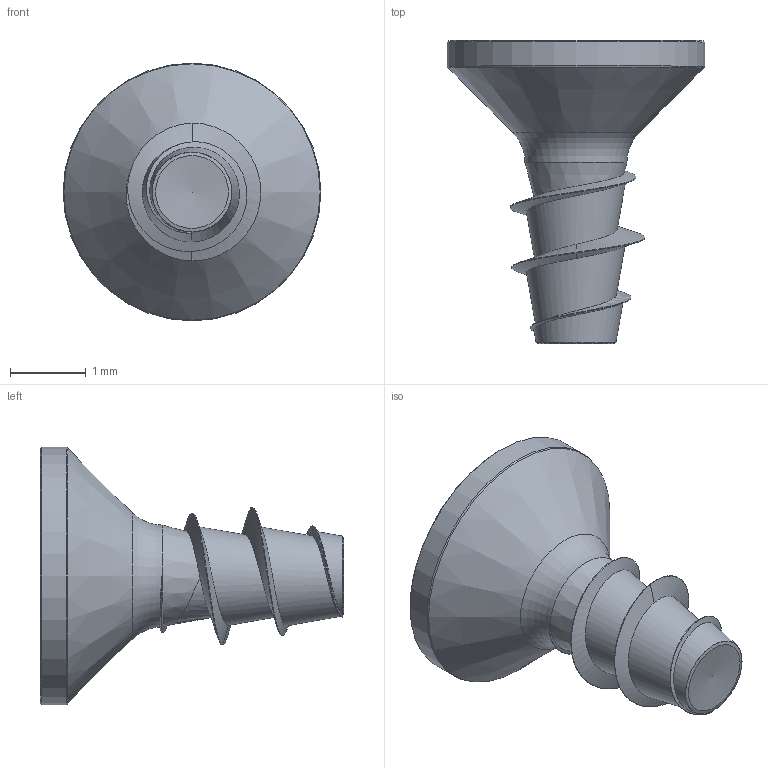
import cadquery as cq
import math


head_radius = 1.7
head_rim_height = 0.35
head_cone_angle = math.radians(45)
rim_bevel = 0.02
rim_cone_bevel = 0.012
cone_end_y = -1.215

tip_y = -4.0
tip_radius = 0.525
tip_bevel_width = 0.045
tip_bevel_height = 0.01
dish_depth = 0.04
land_taper = math.tan(math.radians(10))

pitch = 0.8
thread_start_y = -1.6
run_in_radius = 0.675
start_crest_radius = 0.752
full_crest_radius = 0.908
end_crest_radius = 0.54
crest_half_width = 0.004
flank_slope = 0.29
fin_foot_radius = 0.5

land_offset = 0.075
land_length = 0.7
land_foot_radius = 0.42

run_in_start = -0.25
ramp_end = 1.0
full_end = 1.5
land_full_end = 2.0
thread_end = 3.0
points_per_turn = 12

cone_end_radius = head_radius + (head_rim_height + cone_end_y) * math.tan(head_cone_angle)
neck_end_y = -1.61
neck_arc_radius = (cone_end_y - neck_end_y) / math.sin(head_cone_angle)
neck_end_radius = cone_end_radius - neck_arc_radius * (1 - math.cos(head_cone_angle))
neck_taper_end_y = -2.18


def make_blank():
    """Head, neck and plain core as one revolved body with a flat tip."""
    cone_bevel_inset = rim_cone_bevel * math.sin(head_cone_angle)
    cone_bevel_drop = rim_cone_bevel * math.cos(head_cone_angle)
    neck_mid_angle = head_cone_angle / 2
    neck_mid = (
        neck_end_radius + neck_arc_radius * (1 - math.cos(neck_mid_angle)),
        neck_end_y + neck_arc_radius * math.sin(neck_mid_angle),
    )
    return (
        cq.Workplane("XY")
        .moveTo(0, 0)
        .lineTo(head_radius - rim_bevel, 0)
        .lineTo(head_radius, -rim_bevel)
        .lineTo(head_radius, -head_rim_height + rim_cone_bevel)
        .lineTo(head_radius - cone_bevel_inset, -head_rim_height - cone_bevel_drop)
        .lineTo(cone_end_radius, cone_end_y)
        .threePointArc(neck_mid, (neck_end_radius, neck_end_y))
        .lineTo(tip_radius, neck_taper_end_y)
        .lineTo(tip_radius, tip_y)
        .lineTo(0, tip_y)
        .close()
        .revolve(360, (0, 0, 0), (0, 1, 0))
    )


def crest_radius(turn):
    """Crest radius: emerges from the neck, rises to full height, stays, then fades into the tip."""
    if turn < 0:
        return start_crest_radius - (start_crest_radius - run_in_radius) * turn / run_in_start
    if turn < ramp_end:
        return start_crest_radius + (full_crest_radius - start_crest_radius) * turn / ramp_end
    if turn <= full_end:
        return full_crest_radius
    fade = (turn - full_end) / (thread_end - full_end)
    return full_crest_radius + (end_crest_radius - full_crest_radius) * fade


def cone_radius(y):
    """Radius of the tip cone at height y."""
    return tip_radius + land_taper * (y - tip_y)


def crest_y(turn):
    """Height of the crest helix, continued evenly before the thread start."""
    return thread_start_y - pitch * turn


def fin_profile(turn):
    """(radius, y) corners of the thread fin."""
    crest = crest_radius(turn)
    y = crest_y(max(turn, 0))
    foot_half_width = crest_half_width + flank_slope * (crest - fin_foot_radius)
    return [
        (fin_foot_radius, y + foot_half_width),
        (crest, y + crest_half_width),
        (crest, y - crest_half_width),
        (fin_foot_radius, y - foot_half_width),
    ]


def land_profile(turn):
    """(radius, y) corners of the land: equal on every turn until the last, which lies on the tip cone."""
    large_end_y = crest_y(turn) - land_offset
    large_radius = cone_radius(crest_y(max(turn, land_full_end)) - land_offset)
    top_y = crest_y(turn)
    bottom_y = large_end_y - land_length
    return [
        (land_foot_radius, top_y),
        (large_radius + land_taper * land_offset, top_y),
        (large_radius - land_taper * land_length, bottom_y),
        (land_foot_radius, bottom_y),
    ]


def place(radius, y, turn):
    """Point at a given radius and height, turned from -Z towards +X."""
    angle = 2 * math.pi * turn
    return cq.Vector(radius * math.sin(angle), y, -radius * math.cos(angle))


def helical_body(profile, first_turn, last_turn):
    """Solid swept by a four-cornered profile that changes along the helix."""
    steps = round((last_turn - first_turn) * points_per_turn)
    turns = [first_turn + (last_turn - first_turn) * i / steps for i in range(steps + 1)]
    sections = [[place(r, y, turn) for r, y in profile(turn)] for turn in turns]
    rails = [cq.Edge.makeSpline(list(points)) for points in zip(*sections)]
    sides = [cq.Face.makeRuledSurface(rails[i - 1], rails[i]) for i in range(len(rails))]
    caps = [
        cq.Face.makeFromWires(cq.Wire.makePolygon(section, close=True))
        for section in (sections[0], sections[-1])
    ]
    solid = cq.Solid.makeSolid(cq.Shell.makeShell(sides + caps))
    return cq.Workplane(obj=solid.fix())


def add_thread(body):
    """Join the lands and the fin to the blank, one stretch at a time."""
    land_limits = [run_in_start, land_full_end, thread_end]
    fin_limits = [run_in_start, 0, ramp_end, full_end, thread_end]
    for profile, limits in ((land_profile, land_limits), (fin_profile, fin_limits)):
        for first_turn, last_turn in zip(limits, limits[1:]):
            body = body.union(helical_body(profile, first_turn, last_turn))
    return body


def trim_tip(body):
    """Cut the thread off at the tip, bevel the rim and hollow a shallow conical dish."""
    waste_radius = 2 * tip_radius
    waste_end_y = tip_y - pitch - land_length
    waste = (
        cq.Workplane("XY")
        .moveTo(0, tip_y + dish_depth)
        .lineTo(tip_radius - tip_bevel_width, tip_y)
        .lineTo(tip_radius, tip_y + tip_bevel_height)
        .lineTo(waste_radius, tip_y + tip_bevel_height)
        .lineTo(waste_radius, waste_end_y)
        .lineTo(0, waste_end_y)
        .close()
        .revolve(360, (0, 0, 0), (0, 1, 0))
    )
    return body.cut(waste)


result = trim_tip(add_thread(make_blank()))